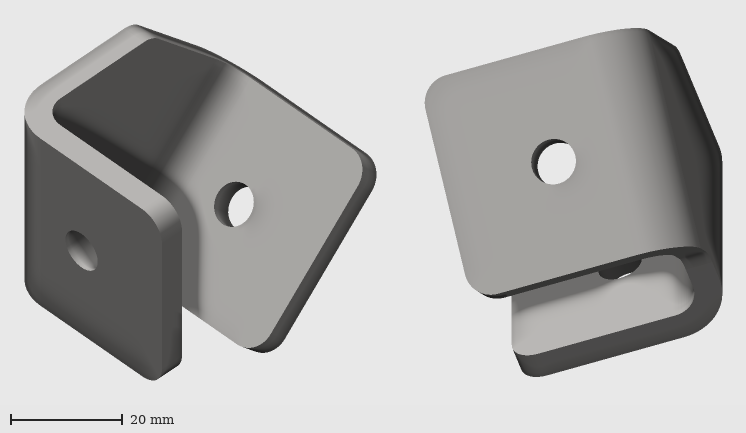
import cadquery as cq
import math

width = 41.0
height = 41.0
thickness = 5.0
inner_bend_radius = 5.0
corner_radius = 5.0
hole_diameter = 8.2
long_edge = 33.0
turn_angle = 45

outer_bend_radius = inner_bend_radius + thickness
turn = math.radians(turn_angle)
short_edge = long_edge - height * math.tan(turn / 2)
flange_rotation = 180 - turn_angle
tilted_y = long_edge * (1 + math.cos(turn))
tilted_z = height - long_edge * math.sin(turn)


def make_flange():
    """Upright flange with its bend, outer face on the XZ plane and web side at X = 0."""
    arc_reach = math.sqrt(0.5)
    outer_mid = outer_bend_radius * (1 - arc_reach)
    inner_mid = outer_bend_radius - inner_bend_radius * arc_reach
    flange = (
        cq.Workplane("XY")
        .moveTo(width, 0)
        .lineTo(outer_bend_radius, 0)
        .threePointArc((outer_mid, outer_mid), (0, outer_bend_radius))
        .lineTo(thickness, outer_bend_radius)
        .threePointArc((inner_mid, inner_mid), (outer_bend_radius, thickness))
        .lineTo(width, thickness)
        .close()
        .extrude(height)
        .faces(">X")
        .edges("|Y")
        .fillet(corner_radius)
    )
    hole = (
        cq.Workplane("XZ")
        .center(width / 2, height / 2)
        .circle(hole_diameter / 2)
        .extrude(-thickness)
    )
    return flange.cut(hole)


def make_web():
    """Flat plate joining the two bends, with rounded corners where its edges turn."""

    def tilted_point(distance, along):
        y = tilted_y - (distance + along) * math.cos(turn)
        z = tilted_z + distance * math.sin(turn) - along * math.sin(turn)
        return (y, z)

    outline = [
        (outer_bend_radius, 0),
        (short_edge, 0),
        tilted_point(outer_bend_radius, height),
        tilted_point(outer_bend_radius, 0),
        (long_edge, height),
        (outer_bend_radius, height),
    ]
    web = cq.Workplane("YZ").polyline(outline).close().extrude(thickness)
    lower_corner = cq.selectors.NearestToPointSelector((thickness / 2, short_edge, 0))
    upper_corner = cq.selectors.NearestToPointSelector((thickness / 2, long_edge, height))
    web = web.edges(lower_corner).fillet(corner_radius)
    return web.edges(upper_corner).fillet(corner_radius)


upright_flange = make_flange()
tilted_flange = (
    make_flange()
    .rotate((0, 0, 0), (1, 0, 0), flange_rotation)
    .translate((0, tilted_y, tilted_z))
)

result = make_web().union(upright_flange).union(tilted_flange)